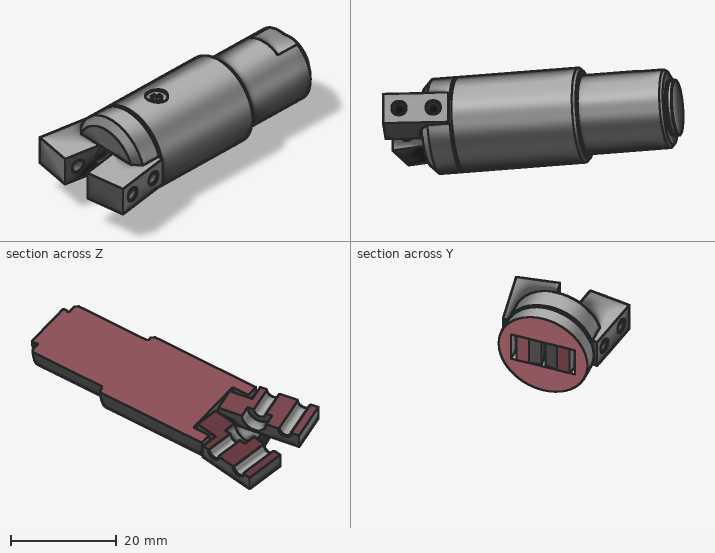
import cadquery as cq
import math


total_length = 55.8
jaw_span = 22.9

body_radius = 18.0 / 2
shank_radius = 15.0 / 2
groove_radius = body_radius - 0.15
button_radius = 10.6 / 2
neck_radius = button_radius - 0.15
shoulder_inner_radius = 7.7
shoulder_outer_radius = 8.4

head_face_y = 7.75
groove_front_y = 13.55
groove_back_y = 14.0
bevel_front_y = 37.3
shoulder_y = 37.9
body_back_y = 38.1
shank_back_y = 54.4
neck_back_y = 54.8

head_chamfer = body_radius - shank_radius
shank_chamfer = 0.55
button_chamfer = 0.15

flat_height = 6.5
flat_front_y = 48.9

screw_y = 20.9
screw_diameter = 4.3
screw_floor_z = 8.5
cross_span = 2.3
cross_arm = 0.9
cross_depth = 0.45

jaw_angle = 9.0
jaw_width = 8.5
jaw_height = 5.9
jaw_block_length = 12.3
tail_length = 17.0
tail_width = 5.0
front_hole_distance = 3.0
hole_spacing = 6.5
hole_diameter = 2.45
hole_chamfer = 0.2
counterbore_diameter = 5.0
counterbore_depth = 2.5

angle = math.radians(jaw_angle)
tip_x = jaw_span / 2 - jaw_width * math.cos(angle)
pocket_half_width = 6.4
pocket_floor_y = tail_length * math.cos(angle) + tail_width * math.sin(angle)


def block(half_width, y_start, y_end, z_bottom, z_top):
    """Box centred on X between the given Y and Z limits."""
    size = (2 * half_width, y_end - y_start, z_top - z_bottom)
    centre = (0, (y_start + y_end) / 2, (z_bottom + z_top) / 2)
    return cq.Workplane("XY").box(*size).translate(centre)


def make_turned_housing():
    """Revolve the stepped outline (radius, Y) about the Y axis."""
    outline = [
        (0, head_face_y),
        (body_radius - head_chamfer, head_face_y),
        (body_radius, head_face_y + head_chamfer),
        (body_radius, groove_front_y),
        (groove_radius, groove_front_y),
        (groove_radius, groove_back_y),
        (body_radius, groove_back_y),
        (body_radius, bevel_front_y),
        (shoulder_outer_radius, shoulder_y),
        (shoulder_inner_radius, shoulder_y),
        (shank_radius, body_back_y),
        (shank_radius, shank_back_y - shank_chamfer),
        (shank_radius - shank_chamfer, shank_back_y),
        (neck_radius, shank_back_y),
        (neck_radius, neck_back_y),
        (button_radius, neck_back_y + button_chamfer),
        (button_radius, total_length - button_chamfer),
        (button_radius - button_chamfer, total_length),
        (0, total_length),
    ]
    return cq.Workplane("XY").polyline(outline).close().revolve(360, (0, 0, 0), (0, 1, 0))


def make_screw_recess():
    """Round recess and the deeper cross below its floor."""
    recess = (
        cq.Workplane("XY", origin=(0, screw_y, screw_floor_z))
        .circle(screw_diameter / 2)
        .extrude(body_radius - screw_floor_z)
    )
    cross_plane = cq.Workplane("XY", origin=(0, screw_y, screw_floor_z - cross_depth))
    bar_x = cross_plane.rect(cross_span, cross_arm).extrude(cross_depth)
    bar_y = cross_plane.rect(cross_arm, cross_span).extrude(cross_depth)
    return recess.union(bar_x).union(bar_y)


def make_housing():
    half_height = jaw_height / 2
    jaw_slot = block(body_radius, 0, groove_back_y, -half_height, half_height)
    tail_pocket = block(pocket_half_width, 0, pocket_floor_y, -half_height, half_height)
    shank_flat = block(shank_radius, flat_front_y, shank_back_y, flat_height, shank_radius)
    return (
        make_turned_housing()
        .cut(jaw_slot)
        .cut(tail_pocket)
        .cut(shank_flat)
        .cut(make_screw_recess())
    )


def cross_hole(diameter, distance, x_start, length):
    """Cylinder along X at a distance behind the jaw's tip face."""
    return (
        cq.Workplane("YZ", origin=(x_start, distance, 0))
        .circle(diameter / 2)
        .extrude(length)
    )


def countersink(distance, x_face, inward):
    """Cone that chamfers a cross hole at a jaw side; inward is +1 or -1 along X."""
    return cq.Workplane(
        cq.Solid.makeCone(
            hole_diameter / 2 + hole_chamfer,
            hole_diameter / 2,
            hole_chamfer,
            pnt=cq.Vector(x_face, distance, 0),
            dir=cq.Vector(inward, 0, 0),
        )
    )


def make_jaw():
    """Right-hand (+X) jaw: drawn straight from its inner tip corner, then tilted into place."""
    outline = [
        (0, 0),
        (jaw_width, 0),
        (jaw_width, jaw_block_length),
        (tail_width, jaw_block_length),
        (tail_width, tail_length),
        (0, tail_length),
    ]
    jaw = cq.Workplane("XY").polyline(outline).close().extrude(jaw_height / 2, both=True)

    rear_hole_distance = front_hole_distance + hole_spacing
    for distance in (front_hole_distance, rear_hole_distance):
        jaw = jaw.cut(cross_hole(hole_diameter, distance, 0, jaw_width))
        jaw = jaw.cut(countersink(distance, jaw_width, -1))
    jaw = jaw.cut(countersink(front_hole_distance, 0, 1))
    jaw = jaw.cut(cross_hole(counterbore_diameter, rear_hole_distance, 0, counterbore_depth))

    return jaw.rotate((0, 0, 0), (0, 0, 1), jaw_angle).translate((tip_x, 0, 0))


housing = make_housing()

jaws = []
for turn in (0, 180):
    jaws.append(make_jaw().rotate((0, 0, 0), (0, 1, 0), turn).val())

result = cq.Compound.makeCompound([housing.val(), *jaws])